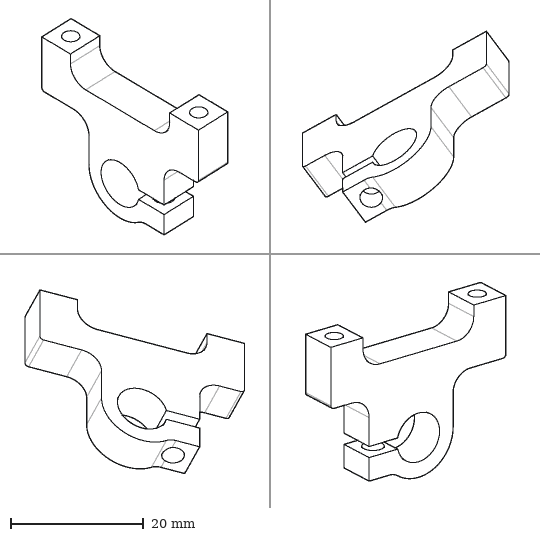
import cadquery as cq
import math

width = 33.02
thickness = 6.35
height = 25.6

bore_radius = 4.0
clamp_radius = 6.57
slit_width = 1.8
lug_end_x = 9.28
lug_bottom_z = -4.8
lug_blend_radius = 2.6

pad_width = 6.08
pad_rise = 5.1
arm_height = 10.17
inner_fillet_radius = 3.2
corner_radius = 0.6

pad_hole_diameter = 2.75
pad_hole_depth = 5.95
drill_point_angle = 118.0
screw_hole_diameter = 3.4
screw_hole_x = 6.17

half_width = width / 2
top_z = height - clamp_radius
arm_bottom_z = top_z - arm_height
saddle_z = top_z - pad_rise
pad_inner_x = half_width - pad_width

blend_center_z = lug_bottom_z - lug_blend_radius
blend_center_distance = clamp_radius + lug_blend_radius
blend_center_x = math.sqrt(blend_center_distance**2 - blend_center_z**2)
blend_angle = math.atan2(blend_center_z, blend_center_x)
blend_start = (clamp_radius * math.cos(blend_angle), clamp_radius * math.sin(blend_angle))
blend_mid_angle = (blend_angle + math.pi + math.pi / 2) / 2
blend_mid = (
    blend_center_x + lug_blend_radius * math.cos(blend_mid_angle),
    blend_center_z + lug_blend_radius * math.sin(blend_mid_angle),
)


def fillet_edges(body, points, radius):
    """Round the Y-direction edges that pass through the given (x, z) points."""
    for x, z in points:
        edge = cq.selectors.NearestToPointSelector((x, 0, z))
        body = body.edges("|Y").edges(edge).fillet(radius)
    return body


def make_body():
    """Extrude the outer outline and round its corners."""
    outline = (
        cq.Workplane("XZ")
        .moveTo(-half_width, top_z)
        .lineTo(-pad_inner_x, top_z)
        .lineTo(-pad_inner_x, saddle_z)
        .lineTo(pad_inner_x, saddle_z)
        .lineTo(pad_inner_x, top_z)
        .lineTo(half_width, top_z)
        .lineTo(half_width, arm_bottom_z)
        .lineTo(lug_end_x, arm_bottom_z)
        .lineTo(lug_end_x, lug_bottom_z)
        .lineTo(blend_center_x, lug_bottom_z)
        .threePointArc(blend_mid, blend_start)
        .threePointArc((0, -clamp_radius), (-clamp_radius, 0))
        .lineTo(-clamp_radius, arm_bottom_z)
        .lineTo(-half_width, arm_bottom_z)
        .close()
    )
    body = outline.extrude(thickness / 2, both=True)
    inner_corners = [
        (-pad_inner_x, saddle_z),
        (pad_inner_x, saddle_z),
        (-clamp_radius, arm_bottom_z),
        (lug_end_x, arm_bottom_z),
    ]
    outer_corners = [(-half_width, arm_bottom_z), (half_width, arm_bottom_z)]
    body = fillet_edges(body, inner_corners, inner_fillet_radius)
    return fillet_edges(body, outer_corners, corner_radius)


def make_bore_and_slit():
    """Clamp bore with the slit that opens it towards +X."""
    bore = cq.Workplane("XZ").circle(bore_radius).extrude(thickness, both=True)
    slit = cq.Workplane("XY").box(lug_end_x, 2 * thickness, slit_width, centered=(False, True, True))
    return bore.union(slit)


def make_pad_hole(x):
    """Blind hole with a conical drill point, entering a pad from above."""
    radius = pad_hole_diameter / 2
    point_depth = radius / math.tan(math.radians(drill_point_angle / 2))
    floor_z = top_z - pad_hole_depth
    return (
        cq.Workplane("XZ")
        .moveTo(0, top_z)
        .lineTo(radius, top_z)
        .lineTo(radius, floor_z)
        .lineTo(0, floor_z - point_depth)
        .close()
        .revolve(360, (0, 0), (0, 1))
        .translate((x, 0, 0))
    )


def make_screw_hole():
    """Clamp screw hole through the lug below the slit."""
    return (
        cq.Workplane("XY", origin=(screw_hole_x, 0, -clamp_radius))
        .circle(screw_hole_diameter / 2)
        .extrude(clamp_radius)
    )


result = make_body().cut(make_bore_and_slit()).cut(make_screw_hole())
for side in (-1, 1):
    result = result.cut(make_pad_hole(side * (half_width - pad_width / 2)))